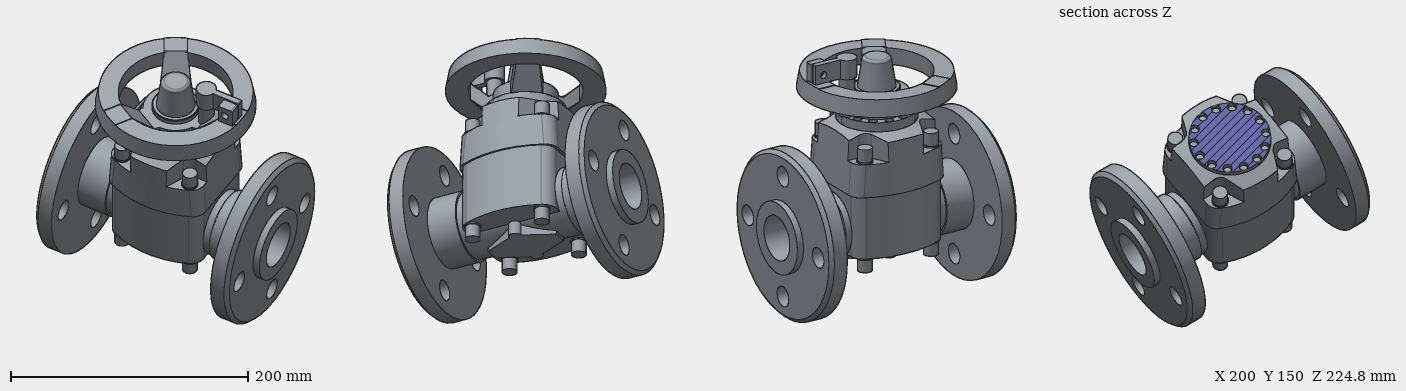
import cadquery as cq
import math


total_height = 224.8

flange_d = 150.0
flange_outer_x = 94.0
flange_inner_x = 77.5
flange_chamfer = 3.4
bolt_circle_r = 54.9
flange_hole_d = 18.0
flange_hole_count = 4
pipe_end_x = 100.0
raised_face_r = 32.0
pipe_r = 31.0
pipe_inner_x = 50.8
neck_r = 29.2
bore_r = 20.0

body_half_x = 43.6
body_half_y = 47.2
body_bottom_z = -20.0
bonnet_bottom_z = 36.9
bonnet_bottom_half_x = 46.0
bonnet_bottom_half_y = 48.8
bonnet_top_half_x = 42.7
bonnet_top_half_y = 46.8
side_bulge_r = 91.0
corner_r = 13.0
shoulder_z = 89.0
shoulder_slope = 0.33

foot_bottom_z = -32.0
foot_half_x = 32.5
foot_end_half_y = 6.5
foot_mid_half_y = 21.8
foot_boss_r = 5.8
foot_boss_y = 18.9

bolt_offset = 33.0
bolt_r = 6.3
washer_r = 7.0
washer_thickness = 1.3
bolt_top_z = 79.5
bolt_bottom_z = -32.8
pocket_floor_z = 66.5
pocket_r = 9.5
pocket_wall_angle = 23.0
pocket_reach = 27.0

collar_r = 34.8
collar_top_z = 97.4
index_hole_count = 14
index_hole_r = 3.5
index_hole_circle_r = 30.8

hub_r = 27.7
hub_top_z = 112.6
arm_count = 3
arm_reach = 72.0
arm_bottom_z = 98.5
arm_root = 28.5
arm_centre_half_width = 17.8
arm_end_half_width = 10.0
rim_inner_r = 48.3
rim_bottom_r = 68.0
rim_top_r = 65.2
rim_bottom_z = 116.2
rim_top_z = 131.3
pad_height = 0.7

cap_ring_r = 20.0
cap_ring_height = 4.3
cap_ring_chamfer = 0.7
cap_base_r = 16.5
cap_top_r = 12.1
cap_top_z = 144.1
cap_fillet = 2.7

pin_x = 30.0
pin_r = 6.7
pin_head_r = 8.5
pin_head_bottom_z = 132.5
plate_end_x = 63.0
plate_thickness = 5.5
lug_start_x = 48.5
lug_end_x = 62.3
lug_outer_y = -12.1
lug_top_z = 148.5
lock_hole_x = 54.9
lock_hole_z = 139.8
lug_hole_r = 3.4
plate_hole_r = 3.0
leaf_bevel_length = 1.5
leaf_bevel_drop = 0.5

lock_top_z = total_height - flange_d / 2
pad_top_z = rim_top_z + pad_height
corners = [(sx, sy) for sx in (1, -1) for sy in (1, -1)]


def cylinder(radius, bottom_z, top_z, x=0.0, y=0.0):
    """Upright cylinder between two heights."""
    return cq.Workplane("XY", origin=(x, y, bottom_z)).circle(radius).extrude(top_z - bottom_z)


def pipe_cylinder(radius, start_x, end_x):
    """Cylinder along the pipe axis."""
    return cq.Workplane("YZ", origin=(start_x, 0, 0)).circle(radius).extrude(end_x - start_x)


def lock_leaf(x0, x1, y0, y1, z0, z1):
    """Upright block with its top sloping slightly down at the +X end."""
    return (
        cq.Workplane("XZ", origin=(0, y1, 0))
        .polyline([(x0, z0), (x1, z0), (x1, z1 - leaf_bevel_drop), (x1 - leaf_bevel_length, z1), (x0, z1)])
        .close()
        .extrude(y1 - y0)
    )


def housing_outline(half_x, half_y):
    """Flat ends in X, bulged sides in Y, rounded corners."""
    corner_y = half_y - side_bulge_r + math.sqrt(side_bulge_r**2 - half_x**2)
    sketch = (
        cq.Sketch()
        .segment((half_x, -corner_y), (half_x, corner_y))
        .arc((half_x, corner_y), (0, half_y), (-half_x, corner_y))
        .segment((-half_x, corner_y), (-half_x, -corner_y))
        .arc((-half_x, -corner_y), (0, -half_y), (half_x, -corner_y))
        .assemble()
    )
    return sketch.vertices().fillet(corner_r).reset()


def make_pipe_end():
    """One flange with its pipe, on the +X side."""
    flange = pipe_cylinder(flange_d / 2, flange_inner_x, flange_outer_x)
    flange = flange.faces(">X").chamfer(flange_chamfer)
    holes = (
        cq.Workplane("YZ", origin=(flange_inner_x, 0, 0))
        .polarArray(bolt_circle_r, 0, 360, flange_hole_count)
        .circle(flange_hole_d / 2)
        .extrude(flange_outer_x - flange_inner_x)
    )
    pipe = pipe_cylinder(pipe_r, pipe_inner_x, flange_outer_x)
    raised_face = pipe_cylinder(raised_face_r, flange_inner_x, pipe_end_x)
    return flange.cut(holes).union(pipe).union(raised_face)


def make_body():
    height = bonnet_bottom_z - body_bottom_z
    outline = housing_outline(body_half_x, body_half_y)
    body = cq.Workplane("XY", origin=(0, 0, body_bottom_z)).placeSketch(outline).extrude(height)
    return body.union(pipe_cylinder(neck_r, -pipe_inner_x, pipe_inner_x))


def make_foot():
    """Diamond-shaped pad under the neck with a round boss at each side corner."""
    half_outline = [(foot_half_x, foot_end_half_y), (0, foot_mid_half_y), (-foot_half_x, foot_end_half_y)]
    outline = half_outline + [(-x, -y) for x, y in half_outline]
    foot = cq.Workplane("XY", origin=(0, 0, foot_bottom_z)).polyline(outline).close().extrude(-foot_bottom_z)
    for side in (1, -1):
        foot = foot.union(cylinder(foot_boss_r, foot_bottom_z, 0, 0, side * foot_boss_y))
    return foot


def make_corner_pocket():
    """Cutter around the bolt in the +X +Y corner, open to both neighbouring sides."""
    angle = math.radians(pocket_wall_angle)
    centre = bolt_offset
    wall_start = (centre - pocket_r * math.cos(angle), centre - pocket_r * math.sin(angle))
    wall_end = (
        wall_start[0] - pocket_reach * math.sin(angle),
        wall_start[1] + pocket_reach * math.cos(angle),
    )
    mid_angle = (math.radians(180) + angle + math.radians(270)) / 2
    arc_middle = (centre + pocket_r * math.cos(mid_angle), centre + pocket_r * math.sin(mid_angle))
    return (
        cq.Workplane("XY", origin=(0, 0, pocket_floor_z))
        .moveTo(*wall_end)
        .lineTo(*wall_start)
        .threePointArc(arc_middle, (centre, centre - pocket_r))
        .lineTo(centre + pocket_reach, centre - pocket_r)
        .lineTo(centre + pocket_reach, wall_end[1])
        .close()
        .extrude(collar_top_z - pocket_floor_z)
    )


def make_bonnet():
    """Tapered housing with a conical shoulder and a pocket in each corner."""
    bottom = housing_outline(bonnet_bottom_half_x, bonnet_bottom_half_y)
    top = housing_outline(bonnet_top_half_x, bonnet_top_half_y)
    height = shoulder_z - bonnet_bottom_z
    bonnet = (
        cq.Workplane("XY", origin=(0, 0, bonnet_bottom_z))
        .placeSketch(bottom, top.moved(cq.Location(cq.Vector(0, 0, height))))
        .loft(ruled=True)
    )
    envelope_r = 2 * collar_r
    envelope_edge_z = shoulder_z - (envelope_r - collar_r) * shoulder_slope
    envelope = (
        cq.Workplane("XZ")
        .polyline([
            (0, bonnet_bottom_z),
            (envelope_r, bonnet_bottom_z),
            (envelope_r, envelope_edge_z),
            (collar_r, shoulder_z),
            (0, shoulder_z),
        ])
        .close()
        .revolve(360, (0, 0, 0), (0, 1, 0))
    )
    bonnet = bonnet.intersect(envelope)
    pocket = make_corner_pocket()
    pocket = pocket.union(pocket.mirror("YZ"))
    pocket = pocket.union(pocket.mirror("XZ"))
    return bonnet.cut(pocket)


def make_bolts():
    """Bolt head in each pocket and nut end below the body, both on washers."""
    bolts = cq.Workplane("XY")
    for sx, sy in corners:
        x = sx * bolt_offset
        y = sy * bolt_offset
        bolts = bolts.union(cylinder(bolt_r, pocket_floor_z, bolt_top_z, x, y))
        bolts = bolts.union(cylinder(washer_r, pocket_floor_z, pocket_floor_z + washer_thickness, x, y))
        bolts = bolts.union(cylinder(bolt_r, bolt_bottom_z, body_bottom_z, x, y))
        bolts = bolts.union(cylinder(washer_r, body_bottom_z - washer_thickness, body_bottom_z, x, y))
    return bolts


def make_collar():
    collar = cylinder(collar_r, shoulder_z, collar_top_z)
    holes = (
        cq.Workplane("XY", origin=(0, 0, collar_top_z))
        .polarArray(index_hole_circle_r, 0, 360, index_hole_count)
        .circle(index_hole_r)
        .extrude(shoulder_z - collar_top_z)
    )
    return collar.cut(holes)


def make_arm():
    """Arm along +X: level at the hub, rising to the rim, ending in a pad on the rim."""
    side = (
        cq.Workplane("XZ")
        .polyline([
            (0, arm_bottom_z),
            (arm_root, arm_bottom_z),
            (rim_inner_r, rim_bottom_z),
            (arm_reach, rim_bottom_z),
            (arm_reach, pad_top_z),
            (rim_inner_r, pad_top_z),
            (arm_root, hub_top_z),
            (0, hub_top_z),
        ])
        .close()
        .extrude(arm_reach, both=True)
    )
    half_plan = [
        (0, arm_centre_half_width),
        (rim_inner_r, arm_end_half_width),
        (arm_reach, arm_end_half_width),
    ]
    plan = (
        cq.Workplane("XY", origin=(0, 0, arm_bottom_z))
        .polyline(half_plan + [(x, -y) for x, y in reversed(half_plan)])
        .close()
        .extrude(pad_top_z - arm_bottom_z)
    )
    return side.intersect(plan)


def make_handwheel():
    """Hub, arms and rim, trimmed together to the conical outside of the rim."""
    rim = cylinder(rim_bottom_r, rim_bottom_z, rim_top_z)
    rim = rim.cut(cylinder(rim_inner_r, rim_bottom_z, rim_top_z))
    wheel = rim.union(cylinder(hub_r, collar_top_z, hub_top_z))
    arm = make_arm()
    for i in range(arm_count):
        wheel = wheel.union(arm.rotate((0, 0, 0), (0, 0, 1), i * 360 / arm_count))

    rim_slope = (rim_bottom_r - rim_top_r) / (rim_top_z - rim_bottom_z)
    pad_top_r = rim_bottom_r - (pad_top_z - rim_bottom_z) * rim_slope
    envelope = (
        cq.Workplane("XZ")
        .polyline([
            (0, collar_top_z),
            (rim_bottom_r, collar_top_z),
            (rim_bottom_r, rim_bottom_z),
            (pad_top_r, pad_top_z),
            (0, pad_top_z),
        ])
        .close()
        .revolve(360, (0, 0, 0), (0, 1, 0))
    )
    return wheel.intersect(envelope)


def make_cap():
    """Ring on the hub carrying a tapered cap with a rounded top."""
    ring_top_z = hub_top_z + cap_ring_height
    ring = cylinder(cap_ring_r, hub_top_z, ring_top_z).faces(">Z").chamfer(cap_ring_chamfer)
    cone = (
        cq.Workplane("XZ")
        .polyline([(0, ring_top_z), (cap_base_r, ring_top_z), (cap_top_r, cap_top_z), (0, cap_top_z)])
        .close()
        .revolve(360, (0, 0, 0), (0, 1, 0))
        .faces(">Z")
        .edges()
        .fillet(cap_fillet)
    )
    return ring.union(cone)


def make_lock():
    pin = cylinder(pin_r, collar_top_z, pin_head_bottom_z, pin_x)
    head = cylinder(pin_head_r, pin_head_bottom_z, lock_top_z, pin_x)
    half_plate = plate_thickness / 2
    plate = lock_leaf(pin_x, plate_end_x, -half_plate, half_plate, pin_head_bottom_z, lock_top_z)
    lug = lock_leaf(lug_start_x, lug_end_x, lug_outer_y, -half_plate, rim_top_z, lug_top_z)
    lock_holes = cq.Workplane("XZ", origin=(lock_hole_x, half_plate, lock_hole_z))
    plate = plate.cut(lock_holes.circle(plate_hole_r).extrude(plate_thickness))
    lug = lug.cut(lock_holes.circle(lug_hole_r).extrude(half_plate - lug_outer_y))
    return pin.union(head).union(plate).union(lug)


pipe_end = make_pipe_end()
result = (
    make_body()
    .union(pipe_end)
    .union(pipe_end.mirror("YZ"))
    .union(make_foot())
    .union(make_bonnet())
    .union(make_bolts())
    .union(make_collar())
    .union(make_handwheel())
    .union(make_cap())
    .union(make_lock())
)
for end in (1, -1):
    result = result.cut(pipe_cylinder(bore_r, end * body_half_x, end * pipe_end_x))